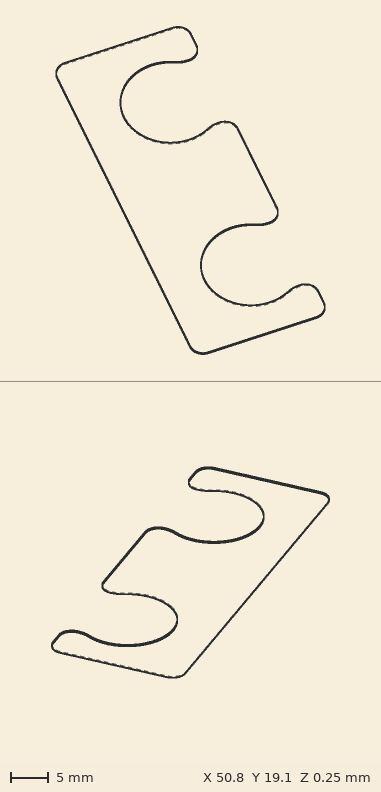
import cadquery as cq
import math

length = 50.8
width = 19.05
thickness = 0.25
corner_radius = 1.85

seat_radius = 6.6
seat_offset = 14.3
seat_height = 12.4
mouth_half_width = 5.5
lip_radius = 1.85
throat_radius = 3.65


def make_plate():
    plate = cq.Workplane("XY").box(length, width, thickness)
    return plate.edges("|Z").fillet(corner_radius)


def make_seat_cutter(center_x):
    """Seat and mouth outline, with every arc tangent to its neighbours."""
    center_y = seat_height - width / 2
    back_y = width / 2
    lip_y = back_y - lip_radius

    throat_x = mouth_half_width + throat_radius
    center_distance = seat_radius + throat_radius
    throat_rise = math.sqrt(center_distance**2 - throat_x**2)
    throat_y = center_y + throat_rise
    join_x = throat_x * seat_radius / center_distance
    join_y = center_y + throat_rise * seat_radius / center_distance
    half_angle = math.atan2(throat_rise, throat_x) / 2
    throat_mid_x = throat_x - throat_radius * math.cos(half_angle)
    throat_mid_y = throat_y - throat_radius * math.sin(half_angle)

    lip_x = mouth_half_width + lip_radius
    lip_mid_x = lip_x - lip_radius * math.cos(math.pi / 4)
    lip_mid_y = lip_y + lip_radius * math.sin(math.pi / 4)

    return (
        cq.Workplane("XY", origin=(center_x, 0, -thickness))
        .moveTo(-lip_x, back_y)
        .threePointArc((-lip_mid_x, lip_mid_y), (-mouth_half_width, lip_y))
        .lineTo(-mouth_half_width, throat_y)
        .threePointArc((-throat_mid_x, throat_mid_y), (-join_x, join_y))
        .threePointArc((0, center_y - seat_radius), (join_x, join_y))
        .threePointArc((throat_mid_x, throat_mid_y), (mouth_half_width, throat_y))
        .lineTo(mouth_half_width, lip_y)
        .threePointArc((lip_mid_x, lip_mid_y), (lip_x, back_y))
        .close()
        .extrude(2 * thickness)
    )


result = make_plate()
for side in (-1, 1):
    result = result.cut(make_seat_cutter(side * seat_offset))